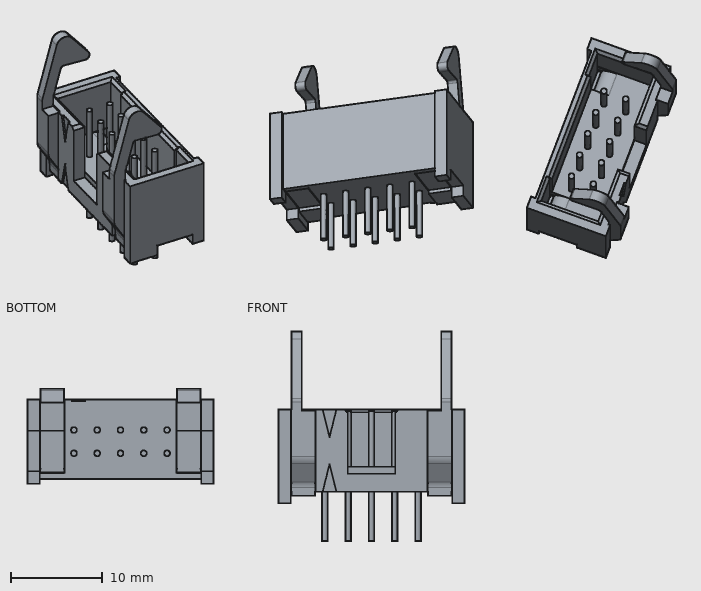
import cadquery as cq
import math


housing_length = 20.32
housing_depth = 9.2
housing_top = 10.26
underside = 1.24
end_wall = 1.35
back_recess = 0.5
foot_notch_front = -1.21
foot_notch_back = 3.2

floor_top = 3.99
cavity_front = -3.2
cavity_back = 3.41
back_pad_face = 3.16
lead_in_width = 0.4
lead_in_height = 0.35

window_width = 5.18
window_sill = 3.25
front_relief = 0.2
mark_x = -4.58
mark_half_width = 0.75
mark_height = 3.05

channel_inner = 6.1
latch_clearance = 0.07
latch_projection = 1.2
latch_shoulder = 10.1
latch_arm_width = 1.15
latch_bend = 11.3
hook_root_z = 15.03
latch_lean = math.tan(math.radians(15.2))
latch_bend_radius = 1.5
latch_tip = 20.02
latch_tip_radius = 1.08
hook_nose_y = 0.78
hook_nose_z = 14.82
hook_nose_radius = 0.55
hook_root_radius = 0.32
latch_slope_top = 4.72
latch_slope_bottom = 2.08
latch_slope_radius = 1.25
latch_bottom = 0.82
latch_foot_front = -4.24
latch_foot_top = 2.5
latch_heel_start = 1.15
latch_heel_radius = 1.8

pin_diameter = 0.65
pin_pitch = 2.55
pin_columns = 5
pin_rows = 2
pin_bottom = -4.12
pin_top = 10.03

front = -housing_depth / 2
back = housing_depth / 2
inner_half = housing_length / 2 - end_wall
latch_inner = channel_inner + latch_clearance
latch_outer = inner_half - latch_clearance
latch_back = cavity_back - latch_clearance
channel_face = front + front_relief


def box(x0, x1, y0, y1, z0, z1):
    """Box between two opposite corners."""
    return cq.Workplane("XY").box(x1 - x0, y1 - y0, z1 - z0, centered=False).translate((x0, y0, z0))


def both_sides(solid):
    """The solid together with its mirror image across X = 0."""
    return solid.union(solid.mirror("YZ"))


def side_profile(x0):
    """Workplane at x0 with local coordinates (Y, Z), extruding toward +X."""
    return cq.Workplane("YZ", origin=(x0, 0, 0))


def lead_in(x0, x1, y0, y1):
    """Funnel-shaped cutter that flares an opening out toward the housing top."""
    length = x1 - x0 + 2 * lead_in_width
    depth = y1 - y0 + 2 * lead_in_width
    flare = math.degrees(math.atan(lead_in_width / lead_in_height))
    return (
        cq.Workplane("XY", origin=((x0 + x1) / 2, (y0 + y1) / 2, housing_top))
        .rect(length, depth)
        .extrude(-lead_in_height, taper=flare)
    )


def rounded_corner(before, corner, after, radius):
    """Start, middle and end of the arc that rounds a corner of an outline."""
    to_before = cq.Vector(*before) - cq.Vector(*corner)
    to_after = cq.Vector(*after) - cq.Vector(*corner)
    half_angle = to_before.getAngle(to_after) / 2
    to_before = to_before.normalized()
    to_after = to_after.normalized()
    setback = radius / math.tan(half_angle)
    apex_distance = radius / math.sin(half_angle) - radius
    points = (
        cq.Vector(*corner) + to_before * setback,
        cq.Vector(*corner) + (to_before + to_after).normalized() * apex_distance,
        cq.Vector(*corner) + to_after * setback,
    )
    return [(point.x, point.y) for point in points]


def rounded_outline(plane, corners):
    """Closed outline through (Y, Z, radius) corners; radius 0 leaves the corner sharp."""
    outline = plane.moveTo(*corners[0][:2])
    for index in range(1, len(corners)):
        before = corners[index - 1][:2]
        corner = corners[index][:2]
        after = corners[(index + 1) % len(corners)][:2]
        radius = corners[index][2]
        if radius:
            start, middle, end = rounded_corner(before, corner, after, radius)
            outline = outline.lineTo(*start).threePointArc(middle, end)
        else:
            outline = outline.lineTo(*corner)
    return outline.close()


def make_shell():
    half = housing_length / 2
    shell = box(-half, half, front, back, 0, housing_top)
    shell = shell.cut(box(-inner_half, inner_half, front, back, 0, underside))
    shell = shell.cut(box(-half, half, foot_notch_front, foot_notch_back, 0, underside))
    shell = shell.cut(box(-inner_half, inner_half, back - back_recess, back, 0, housing_top))
    cavity = (-inner_half, inner_half, cavity_front, cavity_back)
    shell = shell.cut(box(*cavity, floor_top, housing_top))
    return shell.cut(lead_in(*cavity))


def make_back_pad():
    """Thicker stretch of the back wall between the two latch pockets."""
    root = cavity_back + lead_in_width
    pad = (
        side_profile(-channel_inner)
        .moveTo(back_pad_face, floor_top)
        .lineTo(back_pad_face, housing_top - lead_in_height)
        .lineTo(back_pad_face + lead_in_width, housing_top)
        .lineTo(root, housing_top)
        .lineTo(root, floor_top)
        .close()
    )
    return pad.extrude(2 * channel_inner)


def make_window():
    """Keying window through the front wall, flared at its top edges."""
    half = window_width / 2
    window = box(-half, half, front, cavity_front, window_sill, housing_top)
    return window.union(lead_in(-half, half, front - lead_in_width, cavity_front))


def arrow_mark(base_z, tip_z):
    """Shallow triangular recess in the front face."""
    return (
        cq.Workplane("XZ", origin=(mark_x, front, 0))
        .polyline([(-mark_half_width, base_z), (mark_half_width, base_z), (0, tip_z)])
        .close()
        .extrude(-front_relief)
    )


def make_latch_channel():
    """Front channel, slot under the floor and opening up through the floor for one latch."""
    sides = (channel_inner, inner_half)
    channel = box(*sides, front, channel_face, 0, housing_top)
    slot = box(*sides, front, cavity_back, 0, latch_foot_top)
    opening = box(latch_inner, latch_outer, latch_heel_start, cavity_back, 0, floor_top)
    return channel.union(slot).union(opening)


def make_latch():
    outer_face = front - latch_projection
    arm_tip_y = outer_face + latch_lean * (latch_tip - latch_bend)
    hook_root_y = channel_face + latch_lean * (hook_root_z - latch_bend)

    arm = rounded_outline(side_profile(latch_outer - latch_arm_width), [
        (channel_face, latch_shoulder, 0),
        (channel_face, latch_bend, 0),
        (hook_root_y, hook_root_z, hook_root_radius),
        (hook_nose_y, hook_nose_z, hook_nose_radius),
        (arm_tip_y, latch_tip, latch_tip_radius),
        (outer_face, latch_bend, latch_bend_radius),
        (outer_face, latch_shoulder, 0),
    ]).extrude(latch_arm_width)

    base = rounded_outline(side_profile(latch_inner), [
        (channel_face, latch_shoulder, 0),
        (outer_face, latch_shoulder, 0),
        (outer_face, latch_slope_top, latch_bend_radius),
        (latch_foot_front, latch_slope_bottom, latch_slope_radius),
        (latch_foot_front, latch_bottom, 0),
        (foot_notch_front, latch_bottom, 0),
        (foot_notch_front, underside, 0),
        (latch_back, underside, 0),
        (latch_back, latch_foot_top, 0),
        (channel_face, latch_foot_top, 0),
    ]).extrude(latch_outer - latch_inner)

    heel_end = latch_heel_start + latch_heel_radius
    heel_foot = floor_top - latch_heel_radius
    ledge = box(latch_inner, latch_outer, latch_heel_start, cavity_back, heel_foot, latch_foot_top)
    heel = (
        side_profile(latch_inner)
        .moveTo(latch_heel_start, heel_foot)
        .lineTo(latch_heel_start, floor_top)
        .radiusArc((heel_end, heel_foot), latch_heel_radius)
        .close()
        .extrude(latch_outer - latch_inner)
    )
    return arm.union(base).cut(ledge).union(heel)


def make_pins():
    return (
        cq.Workplane("XY", origin=(0, 0, pin_bottom))
        .rarray(pin_pitch, pin_pitch, pin_columns, pin_rows)
        .circle(pin_diameter / 2)
        .extrude(pin_top - pin_bottom)
    )


housing = make_shell().union(make_back_pad()).cut(make_window())
housing = housing.cut(arrow_mark(housing_top, housing_top - mark_height))
housing = housing.cut(arrow_mark(underside, underside + mark_height))
housing = housing.cut(both_sides(make_latch_channel()))
result = housing.union(both_sides(make_latch())).union(make_pins())